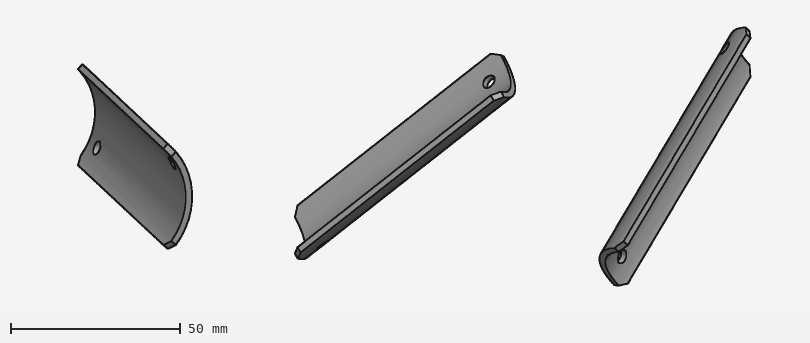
import cadquery as cq
import math

length = 80.0
outer_radius = 23.2
thickness = 2.0
inner_radius = outer_radius - thickness
half_angle = 45.0

corner_chamfer = 2.5

hole_diameter = 4.2
hole_end_distance = 7.0
hole_angle = 24.0
hole_x = length / 2 - hole_end_distance


def arc_point(radius, angle):
    """Point (y, z) on a circle about the tube axis, angle measured from +Y."""
    return (radius * math.cos(math.radians(angle)), radius * math.sin(math.radians(angle)))


def curved_plate():
    return (
        cq.Workplane("YZ")
        .workplane(offset=-length / 2)
        .moveTo(*arc_point(outer_radius, -half_angle))
        .threePointArc(arc_point(outer_radius, 0), arc_point(outer_radius, half_angle))
        .lineTo(*arc_point(inner_radius, half_angle))
        .threePointArc(arc_point(inner_radius, 0), arc_point(inner_radius, -half_angle))
        .close()
        .extrude(length)
    )


def radial_hole(x, angle):
    """Round cutter pointing straight out from the tube axis."""
    y, z = arc_point(1, angle)
    axis = cq.Vector(0, y, z)
    return cq.Workplane(
        cq.Solid.makeCylinder(hole_diameter / 2, 2 * outer_radius, cq.Vector(x, 0, 0), axis)
    )


def corner_cutter(x_side, z_side):
    """Wedge across one corner, square to the plate's long edge face."""
    edge_x = x_side * length / 2
    reach = outer_radius
    wedge = (
        cq.Workplane("XZ")
        .polyline([
            (edge_x, 0),
            (edge_x - x_side * corner_chamfer, 0),
            (edge_x, -z_side * corner_chamfer),
        ])
        .close()
        .extrude(reach, both=True)
    )
    return wedge.rotate((0, 0, 0), (1, 0, 0), z_side * half_angle)


result = curved_plate()
for side in (-1, 1):
    result = result.cut(radial_hole(side * hole_x, side * hole_angle))
    for z_side in (-1, 1):
        result = result.cut(corner_cutter(side, z_side))